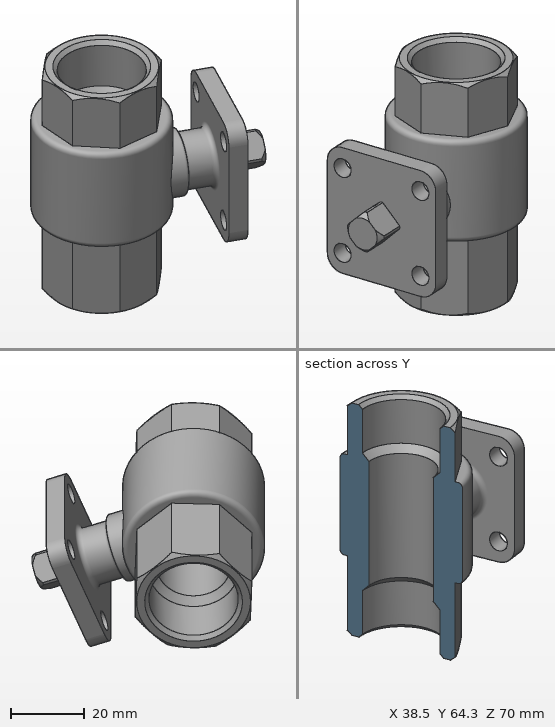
import cadquery as cq
import math

LENGTH = 70.0
BARREL_DIA = 38.5
BARREL_TOP = 19.1
BARREL_BOTTOM = -11.4
BARREL_ROUND = 1.55
OCTAGON_CORNER_DIA = 33.75
OCTAGON_FACE_DIA = 30.8
OCTAGON_CHAMFER_HEIGHT = 1.2

BORE_DIA = 20.0
SOCKET_DIA = 24.15
SOCKET_MOUTH_DIA = 26.45
SOCKET_DEPTH = 14.3
SOCKET_CONE_ANGLE = 45.0

NECK_DIA = 16.0
COLLAR_DIA = 19.0
COLLAR_END = 22.75
PLATE_FRONT = 30.6
PLATE_BACK = 36.0
STEM_END = 45.0
NECK_FLARE = (COLLAR_DIA - NECK_DIA) / 2
COLLAR_ROUND = NECK_FLARE / 2

PLATE_WIDTH = 35.5
PLATE_HEIGHT = 37.8
PLATE_CORNER_RADIUS = 5.05
HOLE_DIA = 5.5
HOLE_SPACING = 25.5

SQUARE_SIDE = 9.0
SQUARE_CORNER_DIA = 12.0
SQUARE_FACE_DIA = 9.4
SQUARE_CHAMFER_HEIGHT = 1.55


def plane_at_y(y):
    """Work plane facing +Y, with its local X along -X and local Y along Z."""
    return cq.Workplane("XZ", origin=(0, y, 0)).transformed(rotate=(0, 180, 0))


def make_barrel():
    height = BARREL_TOP - BARREL_BOTTOM
    barrel = cq.Workplane("XY", origin=(0, 0, BARREL_BOTTOM)).circle(BARREL_DIA / 2).extrude(height)
    return barrel.edges().fillet(BARREL_ROUND)


def make_octagon():
    """Full-length octagonal bar with its corners turned down conically at both ends."""
    half = LENGTH / 2
    corner = OCTAGON_CORNER_DIA / 2
    face = OCTAGON_FACE_DIA / 2
    shoulder = half - OCTAGON_CHAMFER_HEIGHT
    bar = cq.Workplane("XY", origin=(0, 0, -half)).polygon(8, OCTAGON_CORNER_DIA).extrude(LENGTH)
    envelope = (
        cq.Workplane("XZ")
        .polyline([(0, -half), (face, -half), (corner, -shoulder), (corner, shoulder), (face, half), (0, half)])
        .close()
        .revolve(360, (0, 0), (0, 1))
    )
    return bar.intersect(envelope)


def make_bore():
    """Through bore with a chamfered, cone-bottomed socket at each end."""
    half = LENGTH / 2
    mouth = SOCKET_MOUTH_DIA / 2
    socket = SOCKET_DIA / 2
    bore = BORE_DIA / 2
    chamfer_end = half - (mouth - socket)
    socket_end = half - SOCKET_DEPTH
    cone_end = socket_end - (socket - bore) / math.tan(math.radians(SOCKET_CONE_ANGLE))
    upper = [(bore, cone_end), (socket, socket_end), (socket, chamfer_end), (mouth, half)]
    lower = [(radius, -z) for radius, z in reversed(upper)]
    profile = [(0, -half)] + lower + upper + [(0, half)]
    return cq.Workplane("XZ").polyline(profile).close().revolve(360, (0, 0), (0, 1))


def make_neck():
    """Collar and neck turned about Y, blended together and flared into the plate."""
    neck = NECK_DIA / 2
    collar = COLLAR_DIA / 2
    middle = neck + COLLAR_ROUND
    diagonal = COLLAR_ROUND * math.sqrt(0.5)
    flare_diagonal = NECK_FLARE * math.sqrt(0.5)
    step = COLLAR_END - COLLAR_ROUND
    collar_edge = step - COLLAR_ROUND
    flare_start = PLATE_FRONT - NECK_FLARE
    return (
        cq.Workplane("XY")
        .lineTo(collar, 0)
        .lineTo(collar, collar_edge)
        .threePointArc((middle + diagonal, collar_edge + diagonal), (middle, step))
        .threePointArc((middle - diagonal, COLLAR_END - diagonal), (neck, COLLAR_END))
        .lineTo(neck, flare_start)
        .threePointArc((collar - flare_diagonal, flare_start + flare_diagonal), (collar, PLATE_FRONT))
        .lineTo(0, PLATE_FRONT)
        .close()
        .revolve(360, (0, 0), (0, 1))
    )


def make_plate():
    return (
        plane_at_y(PLATE_FRONT)
        .rect(PLATE_WIDTH, PLATE_HEIGHT)
        .extrude(PLATE_BACK - PLATE_FRONT)
        .edges("|Y")
        .fillet(PLATE_CORNER_RADIUS)
        .faces(">Y")
        .workplane(centerOption="CenterOfBoundBox")
        .rect(HOLE_SPACING, HOLE_SPACING, forConstruction=True)
        .vertices()
        .hole(HOLE_DIA)
    )


def make_drive_square():
    """Square stem end standing on its corner, with turned corners and a conical tip."""
    corner = SQUARE_CORNER_DIA / 2
    face = SQUARE_FACE_DIA / 2
    square = (
        plane_at_y(PLATE_BACK)
        .transformed(rotate=(0, 0, 45))
        .rect(SQUARE_SIDE, SQUARE_SIDE)
        .extrude(STEM_END - PLATE_BACK)
    )
    envelope = (
        cq.Workplane("XY")
        .polyline([
            (0, PLATE_BACK),
            (corner, PLATE_BACK),
            (corner, STEM_END - SQUARE_CHAMFER_HEIGHT),
            (face, STEM_END),
            (0, STEM_END),
        ])
        .close()
        .revolve(360, (0, 0), (0, 1))
    )
    return square.intersect(envelope)


body = make_barrel().union(make_octagon()).union(make_neck()).cut(make_bore())
result = body.union(make_plate()).union(make_drive_square())